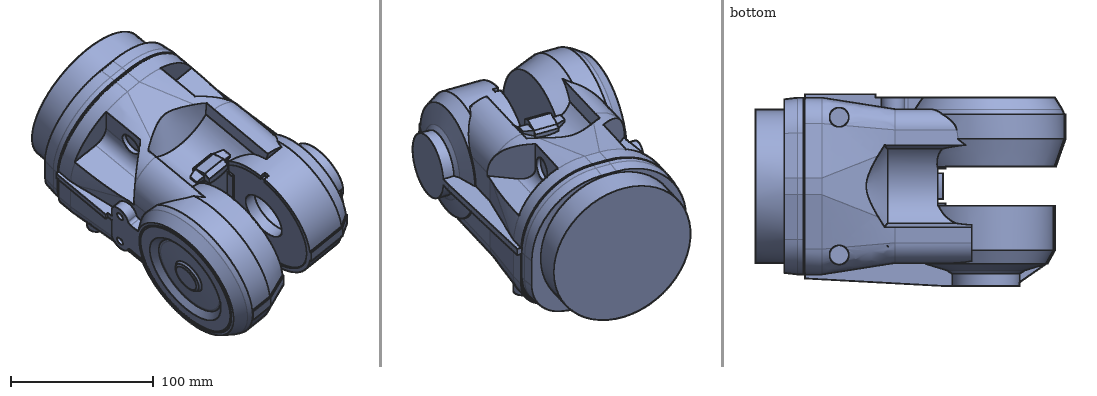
import cadquery as cq
import math

spigot_radius = 54.0
spigot_end = 20.2
flare_end = 29.4
base_end = 33.7
groove_end = 34.8
barrel_end = 46.5
waist_x = 97.9
arm_end = 151.8

collar_half_width = 62.0
collar_height = 112.0
collar_half_height = collar_height / 2
collar_flat = 5.9
collar_side_bottom = -27.8
base_side_bottom = -21.0
collar_slope = 10.0
groove_depth = 1.0

arm_half_width = 54.0
arm_half_height = 51.8
arm_flat = 26.0
arm_side_bottom = -35.9
arm_slope = 3.0

pivot_x = 161.5
overlap = 2.2
fork_half_gap = 13.7
web_end = 127.9
lip_end = 133.3
lip_thickness = 1.5
lip_half_height = 21.8

trough_radius = 35.5
trough_axis_z = 66.8
trough_start = 92.7
trough_cone_length = 24.0
trough_edge_y = 26.0
trough_edge_z = 42.8
trough_wall_lean = 0.3

pocket_floor_z = 21.5
pocket_wall_y = 26.8
pocket_fillet = 10.2
pocket_far_x = 81.0
pocket_outer_x = 102.2
pocket_outer_y = 54.4
pocket_hole_x = 71.1
pocket_hole_z = 37.2
pocket_hole_radius = 8.3
pocket_hole_depth = 3.3

lug_x = 58.7
lug_y = 48.3
lug_radius = 6.7
lug_bottom = -51.0
lug_top = -26.0

front_radius = 55.0
front_inner_radius = 48.3
front_taper_y = -33.0
front_bevel_y = -50.2
front_edge_radius = 53.5
front_edge_y = -54.0
front_face_y = -62.2
stop_half_width = 5.2
stop_height = 0.9

rear_radius = 47.6
rear_bevel_y = 44.8
rear_shoulder_radius = 42.2
rear_shoulder_y = 54.5
rear_cone_radius = 27.5
rear_cone_y = 59.2
rear_boss_radius = 23.7
rear_boss_y = 61.5
rear_face_y = 70.0

insert_radius = 44.2
insert_depth = 8.7
insert_recess = 1.3
bore_radius = 18.0
bore_depth = 21.8
notch_width = 3.7
notch_depth = 4.4

rib_half_width = 2.6
front_rib_y = -64.4
front_rib_end = 84.4
rear_rib_start_y = 64.8
rear_rib_top_x = 130.5
rear_rib_drop_y = 67.5

tab_x = 96.4
tab_upper_z = 10.2
tab_lower_z = -19.8
tab_radius = 8.3
tab_back_y = -43.5
tab_fillet = 2.6
screw_radius = 3.0
screw_depth = 3.3
pilot_radius = 1.7
pilot_depth = 8.7

cap_radius = 46.1
cap_depth = 10.9
cap_chamfer = 1.3
bowl_radius = 35.5
bowl_floor_radius = 30.9
bowl_depth = 4.4
disc_rim_radius = 29.4
disc_rise = 0.9
hub_base_radius = 13.0
hub_edge_radius = 11.7
hub_radius = 10.0
hub_edge_height = 1.7
hub_height = 2.6

clip_start = 115.3
clip_end = 131.5
clip_half_width = 9.1
clip_base_z = trough_axis_z - trough_radius
clip_low_z = 34.8
clip_roll = 2.2
clip_high_z = 40.5
foot_tip = 117.5
foot_start = 120.0
foot_end = 126.8
foot_half_width = 16.5
foot_top = 37.0


def section(x, half_width, half_height, flat, side_bottom, slope):
    """Closed outline across the arm: round above, flat sides, rounded lower corners."""
    tilt = math.radians(slope)
    top_r = half_width - flat
    side_top = half_height - top_r
    rise = half_height + side_bottom - math.tan(tilt) * (half_width - flat)
    low_r = rise / (math.cos(tilt) - math.tan(tilt) * (1 - math.sin(tilt)))
    low_y = half_width - low_r
    corner_end = (low_y + low_r * math.sin(tilt), side_bottom - low_r * math.cos(tilt))
    mid_angle = (math.pi / 2 - tilt) / 2
    corner_mid = (low_y + low_r * math.cos(mid_angle), side_bottom - low_r * math.sin(mid_angle))
    top_mid = (flat + top_r * math.sqrt(0.5), side_top + top_r * math.sqrt(0.5))

    def left(point):
        return (-point[0], point[1])

    right_bottom = (flat, -half_height)
    return (
        cq.Workplane("YZ", origin=(x, 0, 0))
        .moveTo(-flat, half_height)
        .lineTo(flat, half_height)
        .threePointArc(top_mid, (half_width, side_top))
        .lineTo(half_width, side_bottom)
        .threePointArc(corner_mid, corner_end)
        .lineTo(*right_bottom)
        .lineTo(*left(right_bottom))
        .lineTo(*left(corner_end))
        .threePointArc(left(corner_mid), (-half_width, side_bottom))
        .lineTo(-half_width, side_top)
        .threePointArc(left(top_mid), (-flat, half_height))
        .close()
    )


def collar_section(x, inset=0.0, side_bottom=collar_side_bottom):
    return section(x, collar_half_width - inset, collar_half_height - inset,
                   collar_flat, side_bottom, collar_slope)


def base_section(x, inset=0.0):
    return collar_section(x, inset, base_side_bottom)


def arm_section(x):
    return section(x, arm_half_width, arm_half_height, arm_flat, arm_side_bottom, arm_slope)


def ruled_loft(first, second):
    wires = [first.val(), second.val()]
    return cq.Workplane(obj=cq.Solid.makeLoft(wires, True))


def turned(points):
    """Solid of revolution about the pivot; points are (radius, y)."""
    return (
        cq.Workplane("XY", origin=(pivot_x, 0, 0))
        .polyline(points).close()
        .revolve(360, (0, 0, 0), (0, 1, 0))
    )


def block(x_range, y_range, z_range):
    sizes = [high - low for low, high in (x_range, y_range, z_range)]
    corner = (x_range[0], y_range[0], z_range[0])
    return cq.Workplane("XY").box(*sizes, centered=False).translate(corner)


def disc_along_y(radius, x, z, y_start, y_end):
    return (
        cq.Workplane("XZ", origin=(x, y_start, z)).circle(radius).extrude(y_start - y_end)
    )


def make_base():
    spigot = cq.Workplane("YZ").circle(spigot_radius).extrude(spigot_end)
    flare = ruled_loft(base_section(spigot_end, groove_depth), base_section(flare_end))
    band = base_section(flare_end).extrude(base_end - flare_end)
    return spigot.union(flare).union(band)


def barrel_and_arms():
    neck = collar_section(base_end, groove_depth).extrude(groove_end - base_end)
    barrel = collar_section(groove_end).extrude(barrel_end - groove_end)
    shoulder = ruled_loft(collar_section(barrel_end), arm_section(waist_x))
    arms = arm_section(waist_x).extrude(arm_end - waist_x)
    return neck.union(barrel).union(shoulder).union(arms)


def trough():
    """Channel with a round floor, a conical end and steep side walls."""
    bore = (
        cq.Workplane("XY")
        .polyline([(trough_start - trough_cone_length, 0), (trough_start, trough_radius),
                   (arm_end, trough_radius), (arm_end, 0)])
        .close()
        .revolve(360, (0, 0, 0), (1, 0, 0))
        .translate((0, 0, trough_axis_z))
    )
    low_y = trough_edge_y - trough_wall_lean * trough_edge_z
    high_y = trough_edge_y + trough_wall_lean * (trough_axis_z - trough_edge_z)
    walls = (
        cq.Workplane("YZ")
        .polyline([(-low_y, 0), (low_y, 0), (high_y, trough_axis_z), (-high_y, trough_axis_z)])
        .close()
        .extrude(arm_end)
    )
    return bore.intersect(walls)


def pocket():
    """Corner pocket on the -Y side, with a slanting end and a filleted inner corner."""
    slope = (pocket_outer_x - pocket_far_x) / (pocket_outer_y - pocket_wall_y)
    reach_y = collar_half_width + overlap
    reach_x = pocket_far_x + slope * (reach_y - pocket_wall_y)
    cut = (
        cq.Workplane("XY", origin=(0, 0, pocket_floor_z))
        .polyline([(barrel_end, -pocket_wall_y), (pocket_far_x, -pocket_wall_y),
                   (reach_x, -reach_y), (barrel_end, -reach_y)])
        .close()
        .extrude(collar_half_height)
        .edges("|X and >Y and <Z").fillet(pocket_fillet)
    )
    hole = disc_along_y(pocket_hole_radius, pocket_hole_x, pocket_hole_z,
                        -pocket_wall_y + pocket_hole_depth, -pocket_wall_y - pocket_fillet)
    return cut.union(hole)


def fork_lip(side):
    y_range = sorted((side * fork_half_gap, side * (fork_half_gap - lip_thickness)))
    return block((web_end, lip_end), y_range, (-lip_half_height, lip_half_height))


def front_eye():
    eye = turned([(0, -fork_half_gap), (front_inner_radius, -fork_half_gap),
                  (front_radius, front_taper_y), (front_radius, front_bevel_y),
                  (front_edge_radius, front_edge_y),
                  (front_inner_radius, front_face_y), (0, front_face_y)])
    tip_x = pivot_x + front_radius + stop_height
    stop = (
        cq.Workplane("XY", origin=(0, 0, -stop_half_width))
        .polyline([(pivot_x, -fork_half_gap),
                   (pivot_x + front_inner_radius + stop_height, -fork_half_gap),
                   (tip_x, front_taper_y), (tip_x, front_bevel_y), (pivot_x, front_bevel_y)])
        .close()
        .extrude(2 * stop_half_width)
    )
    return eye.union(stop)


def insert_seat():
    """Recess for the disc, with a deeper central bore and a notch through the rim above it."""
    seat = disc_along_y(insert_radius, pivot_x, 0, fork_half_gap,
                        fork_half_gap + insert_recess + insert_depth)
    bore = disc_along_y(bore_radius, pivot_x, 0, fork_half_gap, fork_half_gap + bore_depth)
    notch = block((pivot_x - notch_width / 2, pivot_x + notch_width / 2),
                  (fork_half_gap, fork_half_gap + notch_depth),
                  (insert_radius - overlap, rear_radius + overlap))
    return seat.union(bore).union(notch)


def rear_eye():
    eye = turned([(0, fork_half_gap), (rear_radius, fork_half_gap), (rear_radius, rear_bevel_y),
                  (rear_shoulder_radius, rear_shoulder_y), (rear_cone_radius, rear_cone_y),
                  (rear_boss_radius, rear_boss_y), (rear_boss_radius, rear_face_y),
                  (0, rear_face_y)])
    stop = (
        cq.Workplane("XY", origin=(pivot_x, 0, -stop_half_width))
        .polyline([(insert_radius, fork_half_gap), (rear_radius + stop_height, fork_half_gap),
                   (rear_radius + stop_height, rear_bevel_y),
                   (rear_shoulder_radius + stop_height, rear_shoulder_y),
                   (rear_boss_radius, rear_shoulder_y), (rear_boss_radius, rear_bevel_y),
                   (insert_radius, rear_bevel_y)])
        .close()
        .extrude(2 * stop_half_width)
    )
    return eye.union(stop)


def front_rib():
    crest = block((groove_end, front_rib_end), (front_rib_y, overlap - arm_half_width),
                  (-rib_half_width, rib_half_width))
    run_out = block((front_rib_end, tab_x), (front_face_y, overlap - arm_half_width),
                    (-rib_half_width, rib_half_width))
    return crest.union(run_out)


def rear_rib():
    return (
        cq.Workplane("XY", origin=(0, 0, -rib_half_width))
        .polyline([(groove_end, rear_rib_start_y), (rear_rib_top_x, rear_face_y),
                   (pivot_x + rear_boss_radius, rear_face_y),
                   (pivot_x + rear_boss_radius, rear_rib_drop_y),
                   (pivot_x + rear_shoulder_radius, rear_shoulder_y),
                   (pivot_x, rear_bevel_y), (groove_end, rear_bevel_y)])
        .close()
        .extrude(2 * rib_half_width)
    )


def tab():
    """Screw tab that joins the front eye, flush with its face."""
    mid_z = (tab_upper_z + tab_lower_z) / 2
    spacing = tab_upper_z - tab_lower_z
    thickness = tab_back_y - front_face_y
    plate = (
        cq.Workplane("XZ", origin=(tab_x, tab_back_y, mid_z))
        .slot2D(spacing + 2 * tab_radius, 2 * tab_radius, 90)
        .extrude(thickness)
    )
    neck = block((tab_x, pivot_x - bowl_radius), (front_face_y, tab_back_y),
                 (tab_lower_z, tab_upper_z))
    blank = plate.union(neck)
    for z in (tab_upper_z, tab_lower_z):
        inner_corner = (tab_x + tab_radius, (tab_back_y + front_face_y) / 2, z)
        blank = blank.edges(cq.NearestToPointSelector(inner_corner)).fillet(tab_fillet)
    return blank


def screw_hole(z):
    head = disc_along_y(screw_radius, tab_x, z, front_face_y + screw_depth, front_face_y)
    pilot = disc_along_y(pilot_radius, tab_x, z, front_face_y + pilot_depth, front_face_y)
    return head.union(pilot)


def lug(side):
    return (
        cq.Workplane("XY", origin=(lug_x, side * lug_y, lug_bottom))
        .circle(lug_radius).extrude(lug_top - lug_bottom)
    )


def make_housing():
    body = barrel_and_arms()
    channel = trough()
    body = body.cut(channel).cut(channel.mirror("XY"))
    corner = pocket()
    body = body.cut(corner).cut(corner.mirror("XZ"))
    fork_slot = block((web_end, arm_end), (-fork_half_gap, fork_half_gap),
                      (-collar_half_height, collar_half_height))
    body = body.cut(fork_slot)
    for side in (-1, 1):
        body = body.union(fork_lip(side))
    body = body.union(front_eye()).union(rear_eye()).cut(insert_seat())
    body = body.union(front_rib()).union(rear_rib()).union(tab())
    for side in (-1, 1):
        body = body.union(lug(side))
    for z in (tab_upper_z, tab_lower_z):
        body = body.cut(screw_hole(z))
    cap_seat = disc_along_y(cap_radius, pivot_x, 0, front_face_y + cap_depth, front_face_y)
    return body.cut(cap_seat)


def make_cap():
    back_y = front_face_y + cap_depth
    floor_y = front_face_y + bowl_depth
    return turned([(bowl_floor_radius, back_y), (cap_radius, back_y),
                   (cap_radius, front_face_y + cap_chamfer),
                   (cap_radius - cap_chamfer, front_face_y), (bowl_radius, front_face_y),
                   (bowl_floor_radius, floor_y)])


def make_hub_disc():
    back_y = front_face_y + cap_depth
    floor_y = front_face_y + bowl_depth
    hub_y = floor_y - disc_rise
    return turned([(0, back_y), (bowl_floor_radius, back_y), (bowl_floor_radius, floor_y),
                   (disc_rim_radius, floor_y), (hub_base_radius, hub_y),
                   (hub_edge_radius, hub_y - hub_edge_height), (hub_radius, hub_y - hub_height),
                   (0, hub_y - hub_height)])


def make_insert():
    front_y = fork_half_gap + insert_recess
    disc = disc_along_y(insert_radius, pivot_x, 0, front_y, front_y + insert_depth)
    return disc.cut(disc_along_y(bore_radius, pivot_x, 0, front_y, front_y + insert_depth))


def make_clip():
    saddle = (
        cq.Workplane("XZ", origin=(0, clip_half_width, 0))
        .polyline([(clip_start, clip_base_z), (clip_start, clip_low_z),
                   (clip_start + clip_roll, clip_low_z + clip_roll),
                   (clip_end - 2 * clip_roll, clip_high_z),
                   (clip_end, clip_high_z - clip_roll), (clip_end, clip_base_z)])
        .close()
        .extrude(2 * clip_half_width)
    )
    feet = (
        cq.Workplane("XY", origin=(0, 0, clip_base_z))
        .polyline([(foot_tip, -clip_half_width), (foot_start, -foot_half_width),
                   (foot_end, -foot_half_width), (foot_end, foot_half_width),
                   (foot_start, foot_half_width), (foot_tip, clip_half_width)])
        .close()
        .extrude(foot_top - clip_base_z)
    )
    channel = (
        cq.Workplane("YZ").center(0, trough_axis_z).circle(trough_radius).extrude(arm_end)
    )
    return saddle.union(feet).intersect(channel)


base = make_base()
housing = make_housing()
cap = make_cap()
hub_disc = make_hub_disc()
insert = make_insert()
clip = make_clip()

bodies = (base, housing, cap, hub_disc, insert, clip)
result = cq.Compound.makeCompound([body.solids().val() for body in bodies])